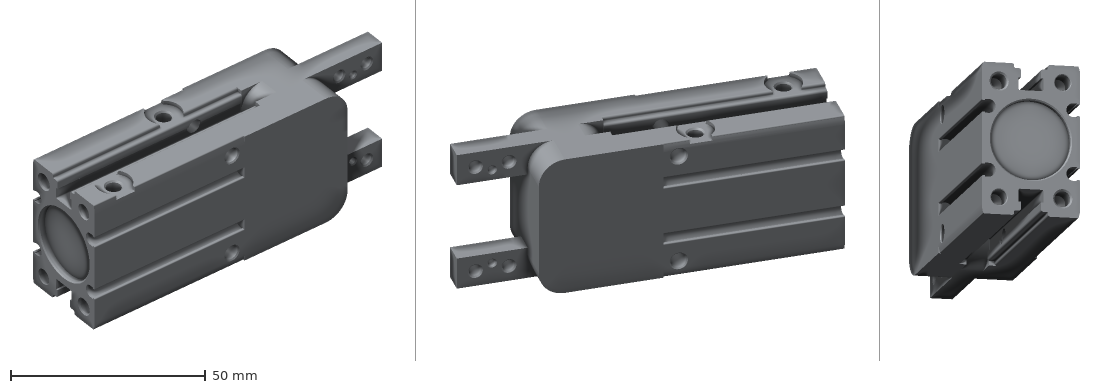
import cadquery as cq
import math

WIDTH = 26.0
HEIGHT = 40.0
TOTAL_LENGTH = 101.2
HOUSING_LENGTH = 82.2
NOSE_RADIUS = 7.0
HALF_WIDTH = WIDTH / 2
HALF_HEIGHT = HEIGHT / 2

ARC_MID_REACH = 1 - math.sqrt(0.5)

JAW_WIDTH = 6.0
JAW_DEPTH = 9.0
JAW_HEEL_Y = 60.0
JAW_HEEL_RADIUS = 6.8
JAW_HOLE_DIA = 3.2
JAW_HOLE_YS = (87.2, 96.2)
JAW_HOLE_Z = 15.6
JAW_HOLE_CHAMFER = 0.4
JAW_PIN_DIA = 2.0
JAW_PIN_Y = sum(JAW_HOLE_YS) / len(JAW_HOLE_YS)
JAW_PIN_Z = 14.0
JAW_PIN_CHAMFER = 0.3

SLOT_LEDGE_HALF = 4.5
SLOT_LEDGE_DEPTH = 1.2
SLOT_LIP_RADIUS = 0.6
SLOT_ROOT_RADIUS = 0.3
SLOT_NECK_HALF = 2.6
SLOT_NECK_RADIUS = 0.6
SLOT_NECK_END_DEPTH = 3.6
SLOT_FOOT_HALF = 3.2
SLOT_DEPTH = 7.0

REAR_LENGTH = 48.7
GROOVE_RADIUS = 1.8
GROOVE_INSET = 1.8
GROOVE_LIP_DEPTH = 0.8
GROOVE_LIP_RADIUS = 0.3
GROOVE_OPENING = 3.0
GROOVE_Z = 8.4
CORNER_DROP = 2.4
CORNER_BREAK = 0.35

TAP_DIA = 4.1
TAP_CHAMFER = 0.46
DRILL_POINT_ANGLE = 118
CROSS_HOLE_DIA = 4.3
CROSS_HOLE_CHAMFER = 0.35
CROSS_HOLE_Y = 44.6
CROSS_HOLE_Z = 15.7
REAR_TAP_X = 8.4
REAR_TAP_Z = 15.1
REAR_TAP_DEPTH = 6.1
REAR_PLAIN_Z = 15.5
REAR_PLAIN_CHAMFER = 0.2

PORT_X = 7.8
PORT_YS = {-1: 38.6, 1: 10.2}
PORT_DEPTH = 6.1
SPOT_DIA = 10.1
SPOT_DEPTH = 1.2
SPOT_RUNOUT_WIDTH = 6.1

BORE_DIA = 21.0
BORE_DEPTH = 2.0
BORE_CHAMFER = 0.35


def box(x_range, y_range, z_range):
    """Box between the given limits along each axis."""
    return cq.Workplane("XY").box(
        x_range[1] - x_range[0], y_range[1] - y_range[0], z_range[1] - z_range[0], centered=False
    ).translate((x_range[0], y_range[0], z_range[0]))


def mirrored_z(shape):
    return shape.mirror("XY")


def blind_hole(diameter, depth, chamfer):
    """Drilled hole tool that enters at the origin and goes toward +Z, with a cone at its end."""
    radius = diameter / 2
    tip = radius / math.tan(math.radians(DRILL_POINT_ANGLE / 2))
    outline = [(0, 0), (radius + chamfer, 0), (radius, chamfer), (radius, depth), (0, depth + tip)]
    return cq.Workplane("XZ").polyline(outline).close().revolve(360, (0, 0, 0), (0, 1, 0))


def cross_hole(diameter, chamfer, length, y, z):
    """Through-hole tool along X, centred on X = 0 and chamfered at both ends."""
    radius = diameter / 2
    half = length / 2
    outline = [
        (-half, 0), (-half, radius + chamfer), (-half + chamfer, radius),
        (half - chamfer, radius), (half, radius + chamfer), (half, 0),
    ]
    tool = cq.Workplane("XY").polyline(outline).close().revolve(360, (0, 0, 0), (1, 0, 0))
    return tool.translate((0, y, z))


def jaw_blank():
    """Upper jaw bar with its square heel, also the shape of the jaw's seat in the housing."""
    return box(
        (-JAW_WIDTH / 2, JAW_WIDTH / 2), (JAW_HEEL_Y, TOTAL_LENGTH), (HALF_HEIGHT - JAW_DEPTH, HALF_HEIGHT)
    )


def make_jaw(side):
    """Jaw above (side = 1) or below (side = -1) the centre plane."""
    jaw = jaw_blank().edges("|X and <Y and >Z").fillet(JAW_HEEL_RADIUS)
    for y in JAW_HOLE_YS:
        jaw = jaw.cut(cross_hole(JAW_HOLE_DIA, JAW_HOLE_CHAMFER, JAW_WIDTH, y, JAW_HOLE_Z))
    jaw = jaw.cut(cross_hole(JAW_PIN_DIA, JAW_PIN_CHAMFER, JAW_WIDTH, JAW_PIN_Y, JAW_PIN_Z))
    return jaw if side > 0 else mirrored_z(jaw)


def sensor_slot():
    """Upper T-slot with a stepped mouth and rounded edges."""
    ledge_z = HALF_HEIGHT - SLOT_LEDGE_DEPTH
    neck_end_z = HALF_HEIGHT - SLOT_NECK_END_DEPTH
    floor_z = HALF_HEIGHT - SLOT_DEPTH
    run = (0, JAW_HEEL_Y)

    mouth = box((-SLOT_LEDGE_HALF, SLOT_LEDGE_HALF), run, (ledge_z, HALF_HEIGHT))
    mouth = mouth.edges("|Y and <Z").fillet(SLOT_ROOT_RADIUS)
    neck = box((-SLOT_NECK_HALF, SLOT_NECK_HALF), run, (floor_z, ledge_z))
    foot = box((-SLOT_FOOT_HALF, SLOT_FOOT_HALF), run, (floor_z, neck_end_z))
    foot = foot.edges("|Y and <Z").fillet(SLOT_ROOT_RADIUS)
    slot = mouth.union(neck).union(foot)

    for side in (-1, 1):
        slot = slot.union(edge_rounding(side, SLOT_LEDGE_HALF, HALF_HEIGHT, SLOT_LIP_RADIUS))
        slot = slot.union(edge_rounding(side, SLOT_NECK_HALF, ledge_z, SLOT_NECK_RADIUS))
    return slot


def edge_rounding(side, half_width, top_z, radius):
    """Material removed to round the upper edge of a slot wall at the given half width."""
    arc_reach = radius * ARC_MID_REACH
    return (
        cq.Workplane("XZ")
        .moveTo(side * half_width, top_z)
        .lineTo(side * (half_width + radius), top_z)
        .threePointArc(
            (side * (half_width + arc_reach), top_z - arc_reach), (side * half_width, top_z - radius)
        )
        .close()
        .extrude(-JAW_HEEL_Y)
    )


def side_groove(side, z):
    """Round-bottomed groove behind two rounded lips, in the +X (side = 1) or -X (side = -1) face."""
    half_opening = GROOVE_OPENING / 2
    flare = half_opening + GROOVE_LIP_RADIUS
    arc_reach = GROOVE_LIP_RADIUS * ARC_MID_REACH

    def at(inset, offset):
        return side * (HALF_WIDTH - inset), z + offset

    return (
        cq.Workplane("XZ")
        .moveTo(*at(0, flare))
        .threePointArc(at(arc_reach, half_opening + arc_reach), at(GROOVE_LIP_RADIUS, half_opening))
        .lineTo(*at(GROOVE_LIP_DEPTH, half_opening))
        .lineTo(*at(GROOVE_LIP_DEPTH, GROOVE_RADIUS))
        .lineTo(*at(GROOVE_INSET, GROOVE_RADIUS))
        .threePointArc(at(GROOVE_INSET + GROOVE_RADIUS, 0), at(GROOVE_INSET, -GROOVE_RADIUS))
        .lineTo(*at(GROOVE_LIP_DEPTH, -GROOVE_RADIUS))
        .lineTo(*at(GROOVE_LIP_DEPTH, -half_opening))
        .lineTo(*at(GROOVE_LIP_RADIUS, -half_opening))
        .threePointArc(at(arc_reach, -half_opening - arc_reach), at(0, -flare))
        .close()
        .extrude(-REAR_LENGTH)
    )


def corner_relief(side):
    """Sliver removed from an upper long edge: a wide arc tangent to the side, then a small round."""
    arc_rise = CORNER_DROP - CORNER_BREAK
    radius = (CORNER_BREAK ** 2 + arc_rise ** 2) / (2 * CORNER_BREAK)
    half_angle = math.asin(arc_rise / radius) / 2
    mid_inset = radius * (1 - math.cos(half_angle))
    mid_drop = CORNER_DROP - radius * math.sin(half_angle)
    break_reach = CORNER_BREAK * ARC_MID_REACH

    def at(inset, drop):
        return side * (HALF_WIDTH - inset), HALF_HEIGHT - drop

    return (
        cq.Workplane("XZ")
        .moveTo(*at(0, CORNER_DROP))
        .threePointArc(at(mid_inset, mid_drop), at(CORNER_BREAK, CORNER_BREAK))
        .threePointArc(at(CORNER_BREAK + break_reach, break_reach), at(2 * CORNER_BREAK, 0))
        .lineTo(*at(0, 0))
        .close()
        .extrude(-REAR_LENGTH)
    )


def rear_hole(x, z, chamfer):
    """Blind hole entering the rear face."""
    tool = blind_hole(TAP_DIA, REAR_TAP_DEPTH, chamfer).rotate((0, 0, 0), (1, 0, 0), -90)
    return tool.translate((x, 0, z))


def air_port(side):
    """Tapped port in the top face, in a spot face that runs out through the near side."""
    x = side * PORT_X
    y = PORT_YS[side]
    floor_z = HALF_HEIGHT - SPOT_DEPTH
    spot = cq.Workplane("XY", origin=(x, y, floor_z)).circle(SPOT_DIA / 2).extrude(SPOT_DEPTH)
    half_runout = SPOT_RUNOUT_WIDTH / 2
    runout = box(
        sorted((x, side * HALF_WIDTH)), (y - half_runout, y + half_runout), (floor_z, HALF_HEIGHT)
    )
    tap = blind_hole(TAP_DIA, PORT_DEPTH, TAP_CHAMFER).rotate((0, 0, 0), (1, 0, 0), 180)
    return spot.union(runout).union(tap.translate((x, y, floor_z)))


def rear_bore():
    """Shallow chamfered recess in the centre of the rear face."""
    bore = cq.Workplane("XZ").circle(BORE_DIA / 2).extrude(-BORE_DEPTH)
    mouth = (
        cq.Workplane("XZ").circle(BORE_DIA / 2 + BORE_CHAMFER)
        .workplane(offset=-BORE_CHAMFER).circle(BORE_DIA / 2).loft(ruled=True)
    )
    return bore.union(mouth)


def make_housing():
    housing = box((-HALF_WIDTH, HALF_WIDTH), (0, HOUSING_LENGTH), (-HALF_HEIGHT, HALF_HEIGHT))
    housing = housing.edges("|X and >Y").fillet(NOSE_RADIUS)

    upper_cuts = [
        jaw_blank(),
        sensor_slot(),
        cross_hole(CROSS_HOLE_DIA, CROSS_HOLE_CHAMFER, WIDTH, CROSS_HOLE_Y, CROSS_HOLE_Z),
    ]
    for side in (-1, 1):
        upper_cuts.append(side_groove(side, GROOVE_Z))
        upper_cuts.append(corner_relief(side))
    for cut in upper_cuts:
        housing = housing.cut(cut).cut(mirrored_z(cut))

    for side in (-1, 1):
        housing = housing.cut(rear_hole(side * REAR_TAP_X, -side * REAR_TAP_Z, TAP_CHAMFER))
        housing = housing.cut(rear_hole(side * REAR_TAP_X, side * REAR_PLAIN_Z, REAR_PLAIN_CHAMFER))

    for side in PORT_YS:
        housing = housing.cut(air_port(side))
    return housing.cut(rear_bore())


housing = make_housing()
jaws = [make_jaw(side) for side in (1, -1)]

result = cq.Compound.makeCompound([housing.solids().val(), *[jaw.solids().val() for jaw in jaws]])